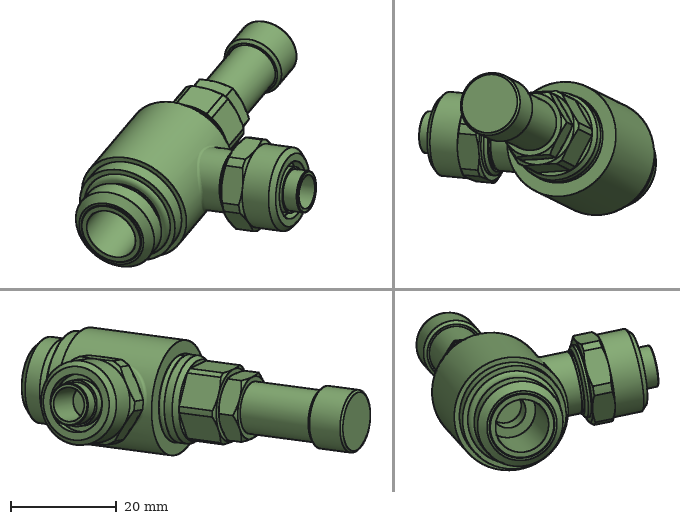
import cadquery as cq
import math


BRANCH_STATION = 22.5
SLEEVE_PROTRUSION = 0.1
SLEEVE_DIAMETER = 12.6
SLEEVE_FACE_DIAMETER = 12.3
BORE_DIAMETER = 10.25
BORE_DEPTH = 12.0
INNER_BORE_DIAMETER = 6.5
INNER_BORE_DEPTH = 16.0
THREAD_DIAMETER = 16.5
THREAD_TIP_DIAMETER = 13.5
THREAD_TIP_CHAMFER = 1.65
THREAD_END = 4.75
GROOVE_DIAMETER = 14.5
GROOVE_START = 5.8
SEAL_SECTION_RADIUS = 1.0
SEAL_PITCH_RADIUS = 8.0

COLLAR_DIAMETER = 20.0
COLLAR_START = 7.0
BODY_DIAMETER = 22.0
BODY_START = 9.85
BODY_END = 30.05
RING_SEAT_DIAMETER = 15.9
RING_DIAMETER = 17.0
RING_SECTION_RADIUS = 0.55
RING_GAP = 0.6
SHOULDER_DIAMETER = 16.85
SHOULDER_START = 31.4
SHOULDER_CHAMFER_START = 33.1
SHOULDER_TOP_DIAMETER = 15.6
LARGE_HEX_START = 34.2
LARGE_HEX_FLATS = 14.0
LARGE_HEX_CORNERS = 15.5
LARGE_HEX_FACE_DIAMETER = 14.0
LARGE_HEX_END = 41.75
SMALL_HEX_FLATS = 12.0
SMALL_HEX_FACE_DIAMETER = 12.0
SMALL_HEX_END = 45.8
ROD_DIAMETER = 10.0
KNOB_START = 60.5
KNOB_DIAMETER = 12.0
KNOB_LOWER_CHAMFER = 0.6
KNOB_UPPER_CHAMFER = 0.4
TOTAL_LENGTH = 68.0

BRANCH_TILT = 9.0
NECK_DIAMETER = 12.0
NECK_FILLET = 0.5
NECK_END = 15.0
WASHER_START = 15.45
WASHER_GROOVE_DIAMETER = 11.6
WASHER_FACE_DIAMETER = 12.5
WASHER_DIAMETER = 14.0
WASHER_CHAMFER = 0.5
NUT_HEX_START = 16.5
NUT_HEX_END = 20.9
NUT_HEX_FLATS = 16.0
NUT_HEX_CORNERS = 17.5
NUT_DIAMETER = 16.0
NUT_END = 27.5
NUT_CHAMFER_LENGTH = 1.0
NUT_FACE_DIAMETER = 14.0
NUT_BORE_DIAMETER = 11.0
NUT_BORE_DEPTH = 2.0
COLLET_DIAMETER = 8.8
TUBE_DIAMETER = 8.0
TUBE_BORE_DIAMETER = 6.5
TUBE_END = 30.5
TUBE_CHAMFER = 0.15
TUBE_BORE_DEPTH = 8.0

HALF_CORNER = math.radians(30)
CHAMFER_SLOPE = math.tan(HALF_CORNER)


def y_plane(station):
    """Work plane across the main axis, facing +Y."""
    return cq.Workplane("XZ", origin=(0, station, 0)).transformed(rotate=(180, 0, 0))


def cylinder(diameter, start, end):
    """Cylinder on the main axis between two stations."""
    return y_plane(start).circle(diameter / 2).extrude(end - start)


def revolved(profile):
    """Solid turned about the Y axis from (diameter, station) points, closed along the axis."""
    points = [(0, profile[0][1])]
    points += [(diameter / 2, station) for diameter, station in profile]
    points += [(0, profile[-1][1])]
    return cq.Workplane("XY").polyline(points).close().revolve(360, (0, 0, 0), (0, 1, 0))


def torus(pitch_radius, section_radius, station):
    """Round-section ring about the Y axis."""
    section = cq.Workplane("XY").center(-pitch_radius, station).circle(section_radius)
    return section.revolve(360, (pitch_radius, 0, 0), (pitch_radius, 1, 0))


def hexagon(flats, corners, start_face, end_face, start, end):
    """Hexagon with two flats facing +Z and -Z, turned to a corner diameter, with chamfered ends."""
    across_points = flats / math.cos(HALF_CORNER)
    prism = y_plane(start).polygon(6, across_points).extrude(end - start)
    end_chamfer = (corners - end_face) / 2 * CHAMFER_SLOPE
    profile = [(corners, start)]
    if start_face < corners:
        start_chamfer = (corners - start_face) / 2 * CHAMFER_SLOPE
        profile = [(start_face, start), (corners, start + start_chamfer)]
    profile += [(corners, end - end_chamfer), (end_face, end)]
    envelope = revolved(profile)
    return prism.intersect(envelope)


def make_threaded_end():
    """Thread with its undercut, the protruding inner sleeve and the round seal."""
    sleeve = revolved([
        (SLEEVE_FACE_DIAMETER, 0),
        (SLEEVE_DIAMETER, SLEEVE_PROTRUSION),
        (SLEEVE_DIAMETER, THREAD_END),
    ])
    thread = revolved([
        (THREAD_TIP_DIAMETER, SLEEVE_PROTRUSION),
        (THREAD_DIAMETER, THREAD_TIP_CHAMFER),
        (THREAD_DIAMETER, THREAD_END),
        (GROOVE_DIAMETER, GROOVE_START),
        (GROOVE_DIAMETER, BODY_START),
    ])
    seal = torus(SEAL_PITCH_RADIUS, SEAL_SECTION_RADIUS, COLLAR_START)
    return thread.union(sleeve).union(seal)


def make_snap_ring():
    """Split ring lying on the body's end face, with its gap facing +Z."""
    station = BODY_END + RING_SECTION_RADIUS
    ring = torus(RING_DIAMETER / 2 - RING_SECTION_RADIUS, RING_SECTION_RADIUS, station)
    gap = cq.Workplane("XY", origin=(0, station, 0)).rect(RING_GAP, 2 * RING_SECTION_RADIUS)
    gap = gap.extrude(RING_DIAMETER)
    return ring.cut(gap)


def make_screw():
    """Regulating screw: shoulder, two hexagons, rod and knob."""
    shoulder = revolved([
        (RING_SEAT_DIAMETER, BODY_END),
        (RING_SEAT_DIAMETER, SHOULDER_START),
        (SHOULDER_DIAMETER, SHOULDER_START),
        (SHOULDER_DIAMETER, SHOULDER_CHAMFER_START),
        (SHOULDER_TOP_DIAMETER, LARGE_HEX_START),
    ])
    large_hex = hexagon(LARGE_HEX_FLATS, LARGE_HEX_CORNERS, LARGE_HEX_CORNERS, LARGE_HEX_FACE_DIAMETER,
                        LARGE_HEX_START, LARGE_HEX_END)
    small_hex_points = SMALL_HEX_FLATS / math.cos(HALF_CORNER)
    small_hex = hexagon(SMALL_HEX_FLATS, small_hex_points, SMALL_HEX_FACE_DIAMETER, SMALL_HEX_FACE_DIAMETER,
                        LARGE_HEX_END, SMALL_HEX_END)
    rod = cylinder(ROD_DIAMETER, SMALL_HEX_END, KNOB_START)
    knob = cylinder(KNOB_DIAMETER, KNOB_START, TOTAL_LENGTH)
    knob = knob.faces("<Y").chamfer(KNOB_LOWER_CHAMFER).faces(">Y").chamfer(KNOB_UPPER_CHAMFER)
    return shoulder.union(large_hex).union(small_hex).union(rod).union(knob)


def place_branch(shape):
    """Swing a shape built along +Y onto the tilted branch axis."""
    return shape.rotate((0, 0, 0), (0, 0, 1), -90).rotate((0, 0, 0), (0, 1, 0), -BRANCH_TILT)


def make_body():
    """Swivel body with the branch neck blended into its side."""
    barrel = cylinder(BODY_DIAMETER, BODY_START, BODY_END).translate((0, -BRANCH_STATION, 0))
    neck = place_branch(cylinder(NECK_DIAMETER, 0, NECK_END))
    joined = barrel.union(neck)
    blend_zone = cq.selectors.BoxSelector(
        (NECK_DIAMETER / 2, -NECK_DIAMETER, -BODY_DIAMETER),
        (BODY_DIAMETER / 2 + NECK_FILLET, NECK_DIAMETER, BODY_DIAMETER),
        boundingbox=True,
    )
    joined = joined.edges(blend_zone).fillet(NECK_FILLET)
    return joined.translate((0, BRANCH_STATION, 0))


def make_branch_nut():
    """Washer, hexagon nut, collet and tube stub, built along +Y."""
    washer = revolved([
        (WASHER_GROOVE_DIAMETER, NECK_END),
        (WASHER_GROOVE_DIAMETER, WASHER_START),
        (WASHER_FACE_DIAMETER, WASHER_START),
        (WASHER_DIAMETER, WASHER_START + WASHER_CHAMFER),
        (WASHER_DIAMETER, NUT_HEX_START),
    ])
    nut_hex = hexagon(NUT_HEX_FLATS, NUT_HEX_CORNERS, NUT_HEX_FLATS, NUT_HEX_FLATS,
                      NUT_HEX_START, NUT_HEX_END)
    nut = revolved([
        (NUT_DIAMETER, NUT_HEX_END),
        (NUT_DIAMETER, NUT_END - NUT_CHAMFER_LENGTH),
        (NUT_FACE_DIAMETER, NUT_END),
    ])
    nut = nut.cut(cylinder(NUT_BORE_DIAMETER, NUT_END - NUT_BORE_DEPTH, NUT_END))
    collet = cylinder(COLLET_DIAMETER, NUT_END - NUT_BORE_DEPTH, NUT_END)
    tube = cylinder(TUBE_DIAMETER, NUT_END - NUT_BORE_DEPTH, TUBE_END)
    tube = tube.faces(">Y").edges().chamfer(TUBE_CHAMFER)
    nut_assembly = washer.union(nut_hex).union(nut).union(collet).union(tube)
    return nut_assembly.cut(cylinder(TUBE_BORE_DIAMETER, TUBE_END - TUBE_BORE_DEPTH, TUBE_END))


main_line = make_body().union(make_threaded_end())
main_line = main_line.union(cylinder(COLLAR_DIAMETER, COLLAR_START, BODY_START))
main_line = main_line.union(make_screw()).union(make_snap_ring())
main_line = main_line.cut(cylinder(BORE_DIAMETER, 0, BORE_DEPTH))
main_line = main_line.cut(cylinder(INNER_BORE_DIAMETER, BORE_DEPTH, INNER_BORE_DEPTH))

result = main_line.translate((0, -BRANCH_STATION, 0)).union(place_branch(make_branch_nut()))